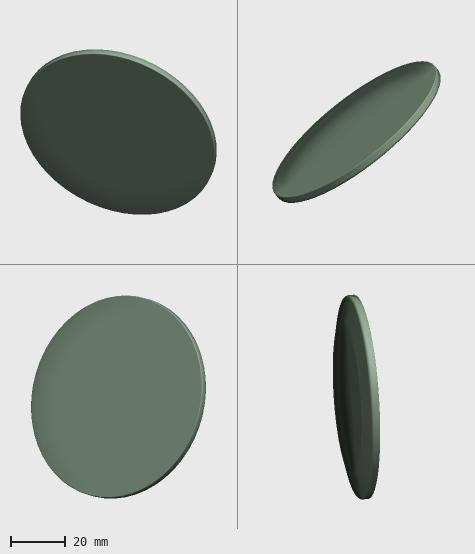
import cadquery as cq
import math

outer_radius = 37.5
thickness = 5.4
rim_depth = 3.0
rim_rounding = 1.0
front_rounding = 0.3
cone_angle = math.radians(15)

rounding_sweep = math.pi / 2 - cone_angle
rim_straight_end = rim_depth - rim_rounding * math.tan(rounding_sweep / 2)
rounding_center_radius = outer_radius - rim_rounding


def rim_rounding_point(angle):
    """Point on the rim rounding as (radius, depth); angle 0 points straight outward."""
    return (
        rounding_center_radius + rim_rounding * math.cos(angle),
        rim_straight_end + rim_rounding * math.sin(angle),
    )


cone_base_radius, cone_base_depth = rim_rounding_point(rounding_sweep)
back_face_radius = cone_base_radius - (thickness - cone_base_depth) / math.tan(cone_angle)


def half_profile():
    """Closed half section in the YZ plane, with Z as radius and Y as depth."""
    return (
        cq.Workplane("ZY")
        .moveTo(0, 0)
        .lineTo(outer_radius - front_rounding, 0)
        .radiusArc((outer_radius, front_rounding), -front_rounding)
        .lineTo(outer_radius, rim_straight_end)
        .threePointArc(rim_rounding_point(rounding_sweep / 2), (cone_base_radius, cone_base_depth))
        .lineTo(back_face_radius, thickness)
        .lineTo(0, thickness)
        .close()
    )


result = half_profile().revolve(360, (0, 0, 0), (0, 1, 0))